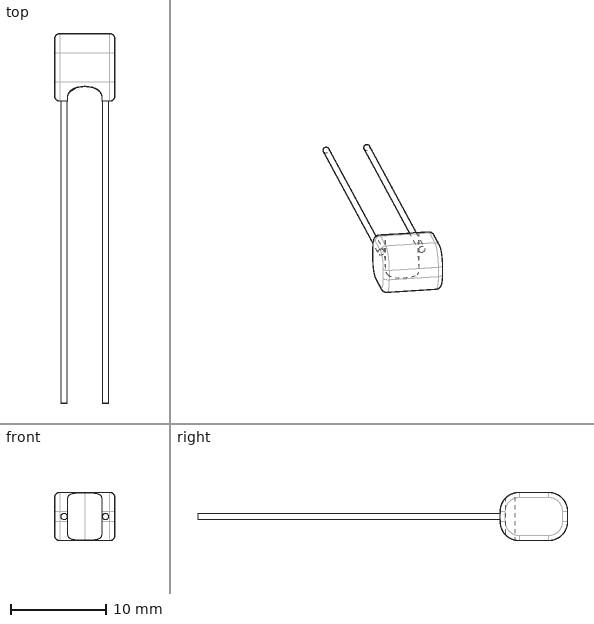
import cadquery as cq

total_length = 38.85
body_width = 6.35
body_length = 7.1
body_height = 5.1

corner_radius = 2.02
edge_radius = 0.55

notch_half_width = 1.8
notch_depth = 1.55
notch_straight_depth = 0.6
notch_bend_half_width = 1.48
notch_bend_depth = 1.13
notch_roof_half_width = 0.85
notch_roof_depth = 1.45

lead_diameter = 0.65
lead_pitch = 4.35
lead_length = total_length - body_length

lead_face_y = 0.0


def make_notch():
    """Cutter through the full height: straight sides under a smooth roof with a low central ridge."""
    left_half = (
        cq.Workplane("XY", origin=(0, 0, -body_height / 2))
        .moveTo(0, lead_face_y)
        .lineTo(-notch_half_width, lead_face_y)
        .lineTo(-notch_half_width, notch_straight_depth)
        .spline(
            [
                (-notch_bend_half_width, notch_bend_depth),
                (-notch_roof_half_width, notch_roof_depth),
                (0, notch_depth),
            ],
            includeCurrent=True,
        )
        .close()
        .extrude(body_height)
    )
    return left_half.union(left_half.mirror("YZ"))


def make_body():
    """Molded block, rounded along X and around both end faces, with the notch cut out."""
    block = (
        cq.Workplane("XY")
        .box(body_width, body_length, body_height)
        .translate((0, lead_face_y + body_length / 2, 0))
        .edges("|X")
        .fillet(corner_radius)
        .faces("<X or >X")
        .edges()
        .fillet(edge_radius)
    )
    return block.cut(make_notch())


def make_lead(x):
    """Straight round wire that butts against the lead-side face of the body."""
    return (
        cq.Workplane("XZ", origin=(x, lead_face_y, 0))
        .circle(lead_diameter / 2)
        .extrude(lead_length)
    )


body = make_body()
leads = [make_lead(side * lead_pitch / 2) for side in (-1, 1)]

result = cq.Compound.makeCompound([body.val(), *[lead.val() for lead in leads]])